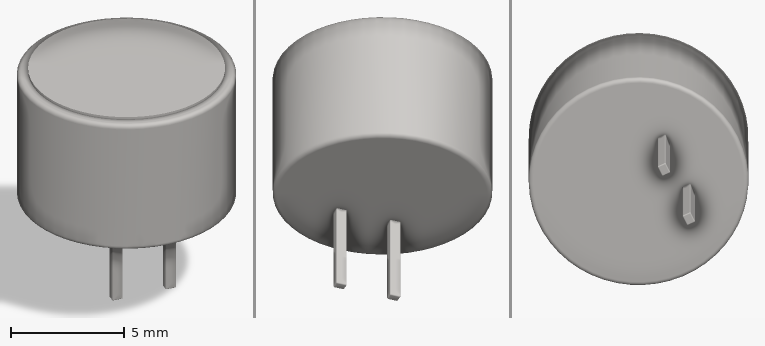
import cadquery as cq

total_height = 10.45
body_diameter = 9.7
body_height = 6.35
body_edge_radius = 0.2

disc_diameter = 8.7
disc_height = 0.15

pin_length = total_height - body_height - disc_height
pin_width_x = 0.4
pin_width_y = 0.5
pin_edge_radius = 0.05
pin_x = 1.85
pin_pitch = 2.55
pin_overlap = 0.21


def make_body():
    """Cylinder with both rims rounded, standing on Z = 0."""
    body = cq.Workplane("XY").circle(body_diameter / 2).extrude(body_height)
    return body.edges("%CIRCLE").fillet(body_edge_radius)


def make_disc():
    """Thin disc sitting on the top face of the body."""
    return (
        cq.Workplane("XY")
        .workplane(offset=body_height)
        .circle(disc_diameter / 2)
        .extrude(disc_height)
    )


def make_pin(y):
    """Rectangular pin with rounded long edges and tip."""
    pin = (
        cq.Workplane("XY")
        .workplane(offset=-pin_length)
        .center(pin_x, y)
        .rect(pin_width_x, pin_width_y)
        .extrude(pin_length + pin_overlap)
    )
    return pin.edges("|Z or <Z").fillet(pin_edge_radius)


result = make_body().union(make_disc())
for side in (-1, 1):
    result = result.union(make_pin(side * pin_pitch / 2))